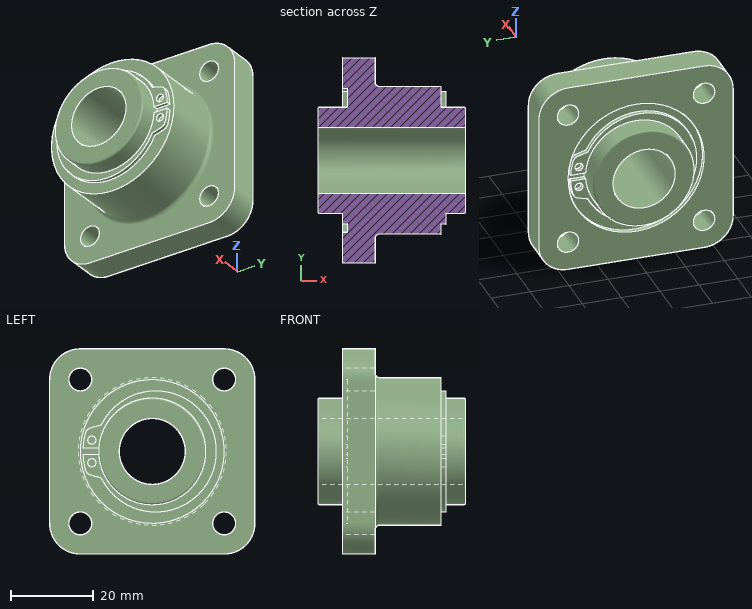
import cadquery as cq
import math

total_length = 36.0
flange_start = 6.0
flange_thickness = 8.0
body_end = 30.0

flange_side = 50.0
flange_corner_radius = 7.5
bolt_spacing = 35.0
bolt_hole_diameter = 5.5

body_radius = 18.0
body_fillet = 1.0
sleeve_radius = 13.0
sleeve_edge_radius = 0.5
bore_radius = 8.0

ring_thickness = 1.2
ring_radius = 14.75
ring_offset = 0.85
ring_gap = 1.6
recess_radius = 17.5
recess_depth = ring_thickness

ear_radius = 16.85
ear_corner_start_z = 4.5
ear_corner_middle = (15.85, 5.2)
ear_corner_end = (14.7, 5.8)
ear_root_start = (13.0, 6.3)
ear_root_middle = (12.6, 6.4)
ear_root_y = 12.35
ear_hole_radius = 1.0
ear_hole_y = 14.7
ear_hole_z = 2.75

flange_end = flange_start + flange_thickness


def cylinder(radius, start, end):
    """Cylinder about the X axis between two X positions."""
    return cq.Workplane("YZ", origin=(start, 0, 0)).circle(radius).extrude(end - start)


def make_flange():
    flange = (
        cq.Workplane("YZ", origin=(flange_start, 0, 0))
        .rect(flange_side, flange_side)
        .extrude(flange_thickness)
        .edges("|X")
        .fillet(flange_corner_radius)
    )
    bolt_holes = (
        cq.Workplane("YZ", origin=(flange_start, 0, 0))
        .rect(bolt_spacing, bolt_spacing, forConstruction=True)
        .vertices()
        .circle(bolt_hole_diameter / 2)
        .extrude(flange_thickness)
    )
    return flange.cut(bolt_holes)


def make_body():
    """Round body with a concave fillet where it leaves the flange."""
    fillet_reach = body_fillet * (1 - math.sqrt(0.5))
    return (
        cq.Workplane("XY")
        .moveTo(flange_start, 0)
        .lineTo(flange_start, body_radius)
        .lineTo(flange_end, body_radius)
        .lineTo(flange_end, body_radius + body_fillet)
        .threePointArc(
            (flange_end + fillet_reach, body_radius + fillet_reach),
            (flange_end + body_fillet, body_radius),
        )
        .lineTo(body_end, body_radius)
        .lineTo(body_end, 0)
        .close()
        .revolve(360, (0, 0, 0), (1, 0, 0))
    )


def make_sleeve():
    """Sleeve through the whole part, rounded at both ends."""
    return cylinder(sleeve_radius, 0, total_length).faces("<X or >X").edges().fillet(sleeve_edge_radius)


def make_ear(start, side):
    """One ear on the +Y side of a ring; side is 1 for +Z and -1 for -Z."""
    gap_edge = ring_gap / 2
    tip_y = math.sqrt(ear_radius**2 - gap_edge**2)
    corner_y = math.sqrt(ear_radius**2 - ear_corner_start_z**2)
    edge_middle_z = (gap_edge + ear_corner_start_z) / 2
    edge_middle_y = math.sqrt(ear_radius**2 - edge_middle_z**2)
    root_z = math.sqrt(ring_radius**2 - (ear_root_y + ring_offset) ** 2)
    workplane = cq.Workplane("YZ", origin=(start, 0, 0))
    ear = (
        workplane.moveTo(0, side * gap_edge)
        .lineTo(tip_y, side * gap_edge)
        .threePointArc(
            (edge_middle_y, side * edge_middle_z),
            (corner_y, side * ear_corner_start_z),
        )
        .threePointArc(
            (ear_corner_middle[0], side * ear_corner_middle[1]),
            (ear_corner_end[0], side * ear_corner_end[1]),
        )
        .lineTo(ear_root_start[0], side * ear_root_start[1])
        .threePointArc(
            (ear_root_middle[0], side * ear_root_middle[1]),
            (ear_root_y, side * root_z),
        )
        .close()
        .extrude(ring_thickness)
    )
    hole = (
        workplane.center(ear_hole_y, side * ear_hole_z)
        .circle(ear_hole_radius)
        .extrude(ring_thickness)
    )
    return ear.cut(hole)


def make_ring(start):
    """Eccentric retaining ring, open between its two ears."""
    gap = cq.Workplane("XY").box(
        ring_thickness, ear_radius, ring_gap, centered=(False, False, True)
    ).translate((start, 0, 0))
    ring = cylinder(ring_radius, start, start + ring_thickness).translate((0, -ring_offset, 0))
    ring = ring.cut(gap)
    for side in (1, -1):
        ring = ring.union(make_ear(start, side))
    return ring


recess = cylinder(recess_radius, flange_start, flange_start + recess_depth)
bore = cylinder(bore_radius, 0, total_length)

housing = make_flange().union(make_body()).cut(recess)
result = housing.union(make_sleeve())
for ring_start in (flange_start, body_end):
    result = result.union(make_ring(ring_start))
result = result.cut(bore).translate((-total_length / 2, 0, 0))